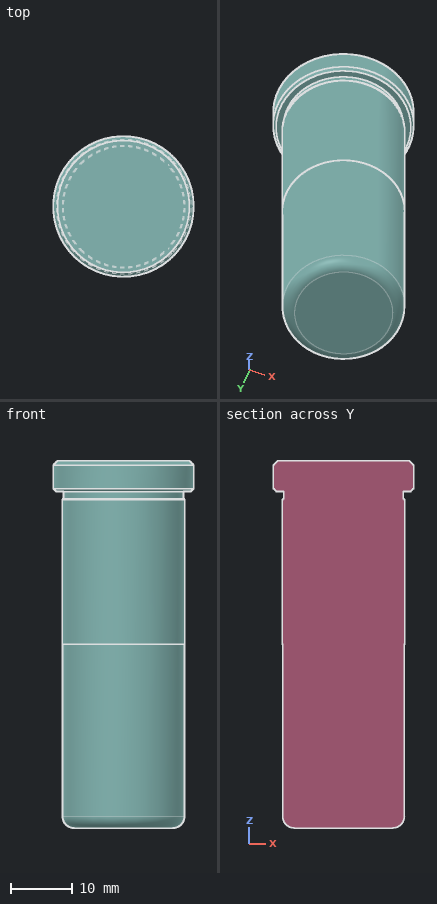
import cadquery as cq

total_length = 60.0
head_diameter = 23.0
head_height = 5.05

upper_diameter = 20.05
lower_diameter = 20.0
step_height = total_length / 2

head_top_chamfer = 0.7
head_bottom_chamfer = 0.5
tip_fillet = 2.0

groove_width = 1.3
groove_depth = 0.2

head_base = total_length - head_height
groove_base = head_base - groove_width


def make_cylinder(diameter, bottom, top):
    """Solid cylinder on the Z axis between two heights."""
    return cq.Workplane("XY").workplane(offset=bottom).circle(diameter / 2).extrude(top - bottom)


def make_lower_shank():
    """Lower half of the shank, rounded at the tip."""
    return make_cylinder(lower_diameter, 0, step_height).faces("<Z").edges().fillet(tip_fillet)


def make_upper_shank():
    """Upper half of the shank, chamfered where it meets the groove."""
    shank = make_cylinder(upper_diameter, step_height, groove_base + groove_depth)
    return shank.faces(">Z").edges().chamfer(groove_depth)


def make_neck():
    """Reduced neck that forms the floor of the relief groove."""
    return make_cylinder(upper_diameter - 2 * groove_depth, groove_base, head_base)


def make_head():
    """Round head, chamfered on both rims."""
    head = make_cylinder(head_diameter, head_base, total_length)
    head = head.faces(">Z").edges().chamfer(head_top_chamfer)
    return head.faces("<Z").edges().chamfer(head_bottom_chamfer)


result = make_lower_shank().union(make_upper_shank()).union(make_neck()).union(make_head())